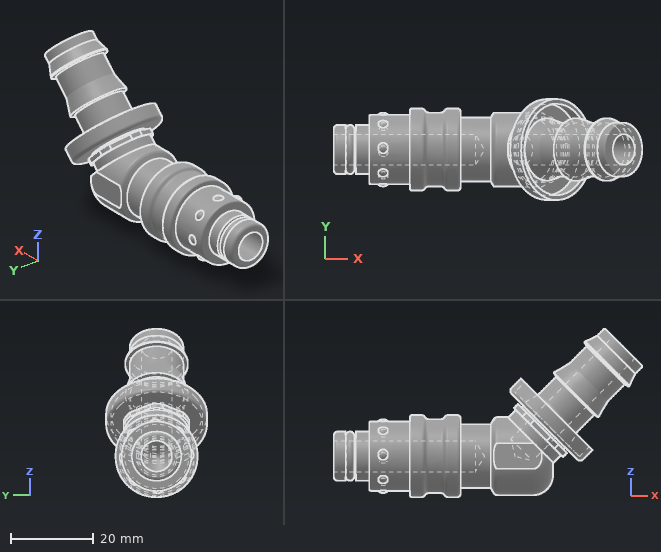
import cadquery as cq
import math


BEND_X = 44.0
BEND_ANGLE = 45

NOSE_R = 12 / 2
NOSE_ROUND = 1.0
GROOVE_START = 2.9
GROOVE_END = 5.4
GROOVE_R = 9 / 2
RING_WIRE_R = 1.05
RING_X = GROOVE_START + RING_WIRE_R

SLEEVE_START = 8.6
SLEEVE_R = 16.9 / 2
SLEEVE_ROUND = 0.45
BUMP_COUNT = 8
BUMP_X = 12
BUMP_BASE_R = 1.2
BUMP_TIP_R = 18 / 2
BUMP_TURN = 2.5

FLANGE_START = 18.5
FLANGE_END = 30.85
FLANGE_R = 20.0 / 2
FLANGE_FRONT_ROUND = 0.5
FLANGE_BACK_ROUND = 0.9
WAIST_R = 18 / 2
WAIST_START = 23.1
WAIST_END = 26.0
SHOULDER_LENGTH = 1.8

NECK_R = 15.6 / 2
BODY_START = 38.1
BODY_END = 53.25
BODY_R = 19.0 / 2
BODY_FLATS = 18
BODY_CONE_ANGLE = 60
BODY_CONE_ROUND = 1.1
BODY_END_ROUND = 4.95
BODY_SEAT = 5.5

COLLAR_END = 8.1
HEX_END = 9.5
HEX_ROUND_R = 16.9 / 2
HEX_FLATS = 15.95
ARM_NECK_R = 14.4 / 2
CUP_START = 10.1
CUP_FLOOR = 11.0
CUP_END = 14.4
CUP_R = 24.6 / 2
CUP_INNER_R = 22.2 / 2
CUP_ROUND = 1.0
HOSE_R = 13.1 / 2
HOSE_END = 37.4
HOSE_ROUND = 0.3
BARB_R = 7.65
BARB_FIRST = 10.5
BARB_PITCH = 10.5
BARB_LENGTHS = (4.5, 4.5, 3.4)
BARB_UNDERCUT = 0.3
BARB_LAND = 0.3

BORE_R = 7.5 / 2
DRILL_TIP = BORE_R / math.tan(math.radians(59))
NOSE_BORE_DEPTH = 34.3


def turn(outline):
    """Close an outline that starts and ends on the X axis and revolve it."""
    return outline.close().revolve(360, (0, 0, 0), (1, 0, 0))


def rod(start, end, radius):
    return cq.Workplane("YZ", origin=(start, 0, 0)).circle(radius).extrude(end - start)


def make_plug():
    shoulder_mid_r = (FLANGE_R + WAIST_R) / 2
    outline = (
        cq.Workplane("XY")
        .lineTo(0, NOSE_R - NOSE_ROUND)
        .tangentArcPoint((NOSE_ROUND, NOSE_R), relative=False)
        .lineTo(GROOVE_START, NOSE_R)
        .lineTo(GROOVE_START, GROOVE_R)
        .lineTo(GROOVE_END, GROOVE_R)
        .lineTo(GROOVE_END, NOSE_R)
        .lineTo(SLEEVE_START, NOSE_R)
        .lineTo(SLEEVE_START, SLEEVE_R - SLEEVE_ROUND)
        .tangentArcPoint((SLEEVE_START + SLEEVE_ROUND, SLEEVE_R), relative=False)
        .lineTo(FLANGE_START, SLEEVE_R)
        .lineTo(FLANGE_START, FLANGE_R - FLANGE_FRONT_ROUND)
        .tangentArcPoint((FLANGE_START + FLANGE_FRONT_ROUND, FLANGE_R), relative=False)
        .lineTo(WAIST_START - SHOULDER_LENGTH, FLANGE_R)
        .tangentArcPoint((WAIST_START - SHOULDER_LENGTH / 2, shoulder_mid_r), relative=False)
        .tangentArcPoint((WAIST_START, WAIST_R), relative=False)
        .lineTo(WAIST_END, WAIST_R)
        .tangentArcPoint((WAIST_END + SHOULDER_LENGTH / 2, shoulder_mid_r), relative=False)
        .tangentArcPoint((WAIST_END + SHOULDER_LENGTH, FLANGE_R), relative=False)
        .lineTo(FLANGE_END - FLANGE_BACK_ROUND, FLANGE_R)
        .tangentArcPoint((FLANGE_END, FLANGE_R - FLANGE_BACK_ROUND), relative=False)
        .lineTo(FLANGE_END, NECK_R)
        .lineTo(BODY_START, NECK_R)
        .lineTo(BODY_START, 0)
    )
    ring = (
        cq.Workplane("XY")
        .center(RING_X, NOSE_R - RING_WIRE_R)
        .circle(RING_WIRE_R)
        .revolve(360, (-RING_X, RING_WIRE_R - NOSE_R, 0), (0.75 - RING_X, RING_WIRE_R - NOSE_R, 0))
    )
    return turn(outline).union(ring)


def add_bumps(plug):
    """Shallow domes spaced evenly around the sleeve."""
    height = BUMP_TIP_R - SLEEVE_R
    dome_r = (BUMP_BASE_R ** 2 + height ** 2) / (2 * height)
    dome = cq.Workplane("XY").sphere(dome_r).translate((BUMP_X, 0, BUMP_TIP_R - dome_r))
    for i in range(BUMP_COUNT):
        angle = i * 360 / BUMP_COUNT - BUMP_TURN
        plug = plug.union(dome.rotate((0, 0, 0), (1, 0, 0), angle))
    return plug


def tilt(arm_piece):
    """Move a piece built along X from the origin onto the tilted arm axis."""
    return arm_piece.rotate((0, 0, 0), (0, 1, 0), -BEND_ANGLE).translate((BEND_X, 0, 0))


def make_body():
    cone = math.radians(BODY_CONE_ANGLE)
    cone_top_x = BODY_START + (BODY_R - NECK_R) / math.tan(cone)
    tangent = BODY_CONE_ROUND * math.tan(cone / 2)
    outline = (
        cq.Workplane("XY")
        .moveTo(BODY_START, 0)
        .lineTo(BODY_START, NECK_R)
        .lineTo(cone_top_x - tangent * math.cos(cone), BODY_R - tangent * math.sin(cone))
        .tangentArcPoint((cone_top_x + tangent, BODY_R), relative=False)
        .lineTo(BODY_END - BODY_END_ROUND, BODY_R)
        .tangentArcPoint((BODY_END, BODY_R - BODY_END_ROUND), relative=False)
        .lineTo(BODY_END, 0)
    )
    length = 2 * BODY_END
    flats = cq.Workplane("XY").box(length, BODY_FLATS, length)
    beyond_seat = cq.Workplane("XY").box(length, length, length)
    beyond_seat = beyond_seat.translate((BODY_SEAT + length / 2, 0, 0))
    return turn(outline).intersect(flats).cut(tilt(beyond_seat))


def make_hex():
    """Hexagon with its corners turned down to a circle, two flats facing along Y."""
    corner_diameter = HEX_FLATS / math.cos(math.pi / 6)
    hexagon = (
        cq.Workplane("YZ", origin=(COLLAR_END, 0, 0))
        .transformed(rotate=(0, 0, 90))
        .polygon(6, corner_diameter)
        .extrude(HEX_END - COLLAR_END)
    )
    return hexagon.intersect(rod(COLLAR_END, HEX_END, HEX_ROUND_R))


def make_cup():
    outline = (
        cq.Workplane("XY")
        .moveTo(CUP_START, 0)
        .lineTo(CUP_START, CUP_R - CUP_ROUND)
        .tangentArcPoint((CUP_START + CUP_ROUND, CUP_R), relative=False)
        .lineTo(CUP_END, CUP_R)
        .lineTo(CUP_END, CUP_INNER_R)
        .lineTo(CUP_FLOOR, CUP_INNER_R)
        .lineTo(CUP_FLOOR, 0)
    )
    return turn(outline)


def make_hose_tail():
    """Straight tail with barbs that slope down toward its open end."""
    outline = cq.Workplane("XY").moveTo(CUP_START, 0).lineTo(CUP_START, HOSE_R)
    for i, length in enumerate(BARB_LENGTHS):
        lip = BARB_FIRST + i * BARB_PITCH
        outline = (
            outline.lineTo(lip - BARB_UNDERCUT, HOSE_R)
            .lineTo(lip, BARB_R)
            .lineTo(lip + BARB_LAND, BARB_R)
            .lineTo(lip + length, HOSE_R)
        )
    outline = (
        outline.lineTo(HOSE_END - HOSE_ROUND, HOSE_R)
        .tangentArcPoint((HOSE_END, HOSE_R - HOSE_ROUND), relative=False)
        .lineTo(HOSE_END, 0)
    )
    return turn(outline)


def make_bore(depth):
    """Drilled hole from the origin along +X, pointed at its end."""
    outline = (
        cq.Workplane("XY")
        .lineTo(0, BORE_R)
        .lineTo(depth, BORE_R)
        .lineTo(depth + DRILL_TIP, 0)
    )
    return turn(outline)


arm = rod(0, COLLAR_END, NECK_R)
arm = arm.union(make_hex())
arm = arm.union(rod(COLLAR_END, CUP_START, ARM_NECK_R))
arm = arm.union(make_cup())
arm = arm.union(make_hose_tail())

arm_bore = make_bore(HOSE_END - DRILL_TIP).rotate((0, 0, 0), (0, 0, 1), 180)
arm_bore = arm_bore.translate((HOSE_END, 0, 0))

result = add_bumps(make_plug()).union(make_body()).union(tilt(arm))
result = result.cut(make_bore(NOSE_BORE_DEPTH)).cut(tilt(arm_bore))